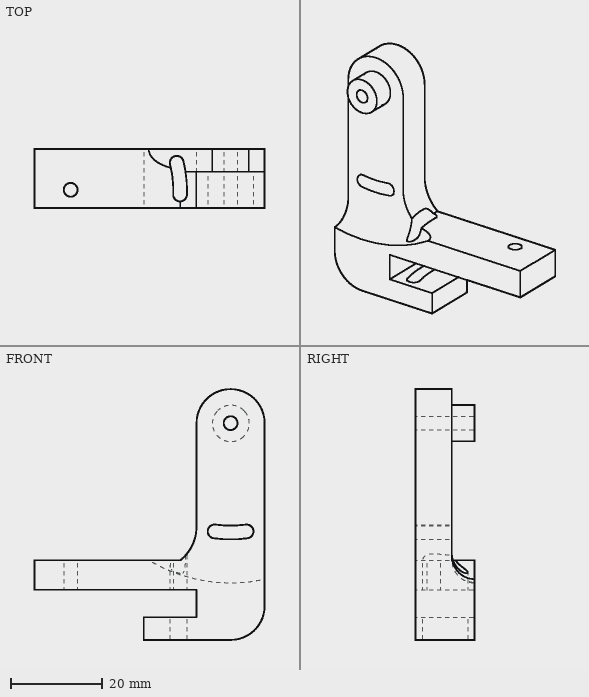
import cadquery as cq
import math

length = 50.5
depth = 13.0
height = 55.0

column_radius = 7.5
column_depth = 8.0
column_left = length - 2 * column_radius
pivot_x = length - column_radius
pivot_z = height - column_radius

arm_bottom = 11.0
arm_top = 17.5
foot_left = 24.0
foot_top = 5.0
corner_radius = 7.5

bend_radius = 9.5
bend_start_z = 24.85

boss_radius = 4.0
clearance_radius = 30.0
clearance_corner = depth - column_depth

hole_radius = 1.5
arm_pivot_x = 8.0
arm_pivot_y = 4.0
slot_path_radius = 24.0
slot_half_angle = 8.4
arm_slot_middle_y = 6.5


def polar(center, radius, angle):
    """Point at an angle in degrees on a circle."""
    turn = math.radians(angle)
    return center[0] + radius * math.cos(turn), center[1] + radius * math.sin(turn)


def arc_slot(plane, center, middle_angle, cut_length):
    """Round-ended slot solid that follows an arc around a pivot."""
    start = middle_angle - slot_half_angle
    end = middle_angle + slot_half_angle
    inner = slot_path_radius - hole_radius
    outer = slot_path_radius + hole_radius
    start_tip = polar(polar(center, slot_path_radius, start), hole_radius, start - 90)
    end_tip = polar(polar(center, slot_path_radius, end), hole_radius, end + 90)
    return (
        cq.Workplane(plane)
        .moveTo(*polar(center, outer, start))
        .threePointArc(polar(center, outer, middle_angle), polar(center, outer, end))
        .threePointArc(end_tip, polar(center, inner, end))
        .threePointArc(polar(center, inner, middle_angle), polar(center, inner, start))
        .threePointArc(start_tip, polar(center, outer, start))
        .close()
        .extrude(cut_length)
    )


def bracket_body():
    """Full-depth side profile of column, arm and foot."""
    bend_center = (column_left - bend_radius, bend_start_z)
    bend_end_angle = -math.degrees(math.asin((bend_start_z - arm_top) / bend_radius))
    corner_center = (length - corner_radius, corner_radius)
    return (
        cq.Workplane("XZ")
        .moveTo(0, arm_bottom)
        .lineTo(column_left, arm_bottom)
        .lineTo(column_left, foot_top)
        .lineTo(foot_left, foot_top)
        .lineTo(foot_left, 0)
        .lineTo(length - corner_radius, 0)
        .threePointArc(polar(corner_center, corner_radius, -45), (length, corner_radius))
        .lineTo(length, pivot_z)
        .threePointArc((pivot_x, height), (column_left, pivot_z))
        .lineTo(column_left, bend_start_z)
        .threePointArc(
            polar(bend_center, bend_radius, bend_end_angle / 2),
            polar(bend_center, bend_radius, bend_end_angle),
        )
        .lineTo(0, arm_top)
        .close()
        .extrude(-depth)
    )


def swept_clearance():
    """Disc around the pivot, flared by a quarter round toward the back."""
    flare_center = (clearance_radius, depth)
    return (
        cq.Workplane("XY")
        .moveTo(0, column_depth)
        .lineTo(clearance_radius, column_depth)
        .threePointArc(
            polar(flare_center, clearance_corner, -45),
            (clearance_radius + clearance_corner, depth),
        )
        .lineTo(0, depth)
        .close()
        .revolve(360, (0, 0), (0, 1))
        .translate((pivot_x, 0, pivot_z))
    )


def pivot_cylinder(radius, start_y):
    """Cylinder on the pivot axis reaching the back of the part."""
    return (
        cq.Workplane("XZ", origin=(0, start_y, 0))
        .center(pivot_x, pivot_z)
        .circle(radius)
        .extrude(start_y - depth)
    )


bracket = bracket_body().cut(swept_clearance())
bracket = bracket.union(pivot_cylinder(boss_radius, column_depth))

bracket = bracket.cut(pivot_cylinder(hole_radius, 0))
bracket = bracket.cut(arc_slot("XZ", (pivot_x, pivot_z), -90, -depth))

arm_hole = cq.Workplane("XY").center(arm_pivot_x, arm_pivot_y).circle(hole_radius).extrude(height)
bracket = bracket.cut(arm_hole)
arm_slot_angle = math.degrees(math.asin((arm_slot_middle_y - arm_pivot_y) / slot_path_radius))
bracket = bracket.cut(arc_slot("XY", (arm_pivot_x, arm_pivot_y), arm_slot_angle, height))

result = bracket